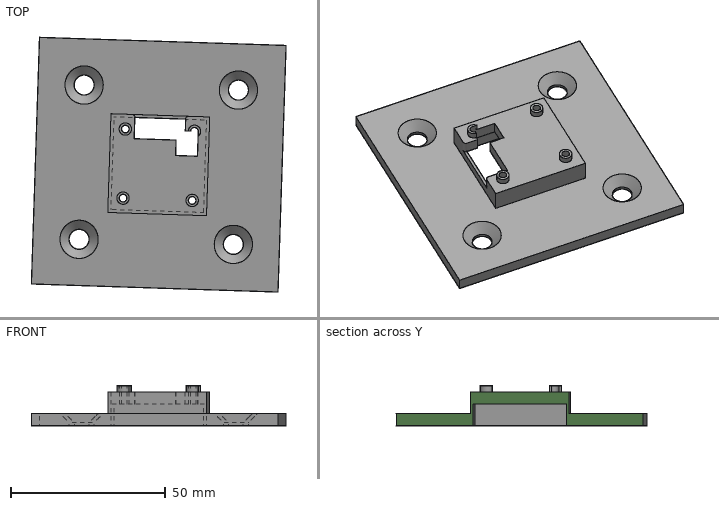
import cadquery as cq

plate_side = 80.0
plate_thickness = 4.0
tilt = -1.88

block_side = 32.0
block_height = 7.0
block_top = plate_thickness + block_height

screw_spacing = 50.0
screw_diameter = 6.4
sink_diameter = 12.4
sink_angle = 90.0

peg_spacing = 22.4
peg_diameter = 4.0
peg_height = 2.0
peg_bore = 2.4
peg_top = block_top + peg_height

cavity_wall = 1.0
cavity_side = block_side - 2 * cavity_wall
roof_thickness = 4.0
roof_bottom = block_top - roof_thickness

wide_half_width = 8.2
wide_front = 8.2
side_left = 5.4
side_right = 12.4
side_front = 3.2
side_rear = peg_spacing / 2

mouth_radius = 1.0


def box_between(left, right, front, rear, bottom, top):
    """Box given by its six bounding coordinates."""
    size = (right - left, rear - front, top - bottom)
    return cq.Workplane("XY").box(*size, centered=False).translate((left, front, bottom))


def make_plate():
    """Plate with a square pattern of countersunk screw holes."""
    plate = cq.Workplane("XY").rect(plate_side, plate_side).extrude(plate_thickness)
    return (
        plate.faces(">Z")
        .workplane()
        .rarray(screw_spacing, screw_spacing, 2, 2)
        .cskHole(screw_diameter, sink_diameter, sink_angle)
    )


def make_block():
    """Plain block standing on the plate."""
    return (
        cq.Workplane("XY")
        .workplane(offset=plate_thickness)
        .rect(block_side, block_side)
        .extrude(block_height)
    )


def make_peg_cylinders(diameter, bottom, top):
    """Four upright cylinders at the peg centres."""
    return (
        cq.Workplane("XY")
        .workplane(offset=bottom)
        .rarray(peg_spacing, peg_spacing, 2, 2)
        .circle(diameter / 2)
        .extrude(top - bottom)
    )


def make_cavity():
    """Square pocket rising from the plate underside to the roof of the block."""
    return cq.Workplane("XY").rect(cavity_side, cavity_side).extrude(roof_bottom)


def make_window():
    """Two joined openings that cut the roof and part of one peg, with a rounded rear mouth."""
    block_rear = block_side / 2
    wide = box_between(
        -wide_half_width, wide_half_width, wide_front, block_rear, roof_bottom, peg_top
    )
    side = box_between(side_left, side_right, side_front, side_rear, roof_bottom, peg_top)
    mouth_half_width = wide_half_width + mouth_radius
    mouth_front = block_rear - mouth_radius
    mouth = box_between(
        -mouth_half_width, mouth_half_width, mouth_front, block_rear, roof_bottom, peg_top
    )
    rounded_edges = (
        cq.Workplane("XY")
        .workplane(offset=roof_bottom)
        .pushPoints([(-mouth_half_width, mouth_front), (mouth_half_width, mouth_front)])
        .circle(mouth_radius)
        .extrude(peg_top - roof_bottom)
    )
    return wide.union(side).union(mouth.cut(rounded_edges))


body = make_plate().union(make_block())
body = body.union(make_peg_cylinders(peg_diameter, block_top, peg_top))
body = body.cut(make_cavity())
body = body.cut(make_peg_cylinders(peg_bore, roof_bottom, peg_top))
body = body.cut(make_window())
result = body.rotate((0, 0, 0), (0, 0, 1), tilt)